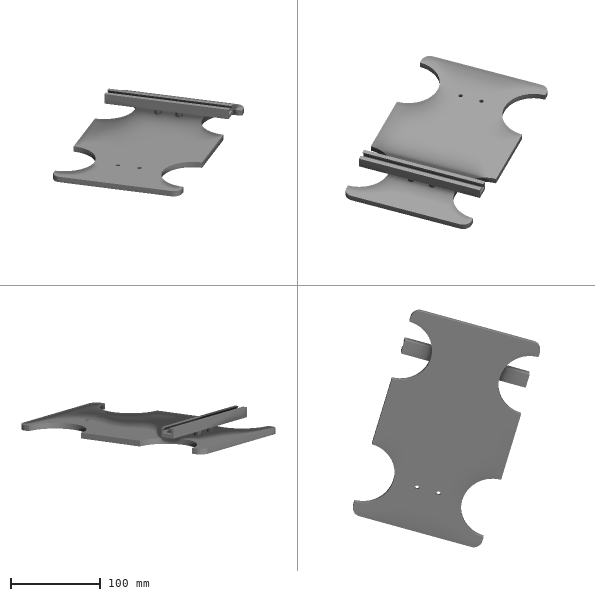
import cadquery as cq

plate_length = 250.0
plate_width = 150.0
total_height = 25.0

plate_thickness = 6.5
corner_radius = 10.0
scallop_radius = 35.0
station_y = 75.0
hole_diameter = 5.0
half_spacing = 12.5

rail_y = 75.2
rail_length = 145.0
rail_width = 16.0
rail_height = 11.5
floor_thickness = 4.2
slot_opening = 5.8
cavity_width = 11.8
lip_rise = 3.8

spacer_diameter = 8.0
rail_bottom = total_height - rail_height
spacer_height = rail_bottom - plate_thickness


def make_plate():
    """Rounded plate with four half-round side scallops and two through holes."""
    plate = (
        cq.Workplane("XY")
        .rect(plate_width, plate_length)
        .extrude(plate_thickness)
        .edges("|Z")
        .fillet(corner_radius)
    )
    scallops = (
        cq.Workplane("XY")
        .rect(plate_width, 2 * station_y, forConstruction=True)
        .vertices()
        .circle(scallop_radius)
        .extrude(plate_thickness)
    )
    holes = (
        cq.Workplane("XY")
        .pushPoints([(side * half_spacing, -station_y) for side in (-1, 1)])
        .circle(hole_diameter / 2)
        .extrude(plate_thickness)
    )
    return plate.cut(scallops).cut(holes)


def make_rail():
    """Straight rail with an undercut slot along its full length."""
    floor_z = rail_bottom + floor_thickness
    lip_z = total_height - lip_rise
    slot_profile = [
        (rail_y - cavity_width / 2, floor_z),
        (rail_y + cavity_width / 2, floor_z),
        (rail_y + cavity_width / 2, lip_z),
        (rail_y + slot_opening / 2, total_height),
        (rail_y - slot_opening / 2, total_height),
        (rail_y - cavity_width / 2, lip_z),
    ]
    block = (
        cq.Workplane("XY", origin=(0, rail_y, rail_bottom))
        .rect(rail_length, rail_width)
        .extrude(rail_height)
    )
    slot = (
        cq.Workplane("YZ")
        .polyline(slot_profile)
        .close()
        .extrude(rail_length / 2, both=True)
    )
    return block.cut(slot)


def make_spacer(x):
    """Round spacer standing on the plate under the rail."""
    return (
        cq.Workplane("XY", origin=(x, rail_y, plate_thickness))
        .circle(spacer_diameter / 2)
        .extrude(spacer_height)
    )


plate = make_plate()
rail = make_rail()
spacers = [make_spacer(side * half_spacing) for side in (-1, 1)]

result = cq.Compound.makeCompound(
    [plate.val(), rail.val(), *[spacer.val() for spacer in spacers]]
)